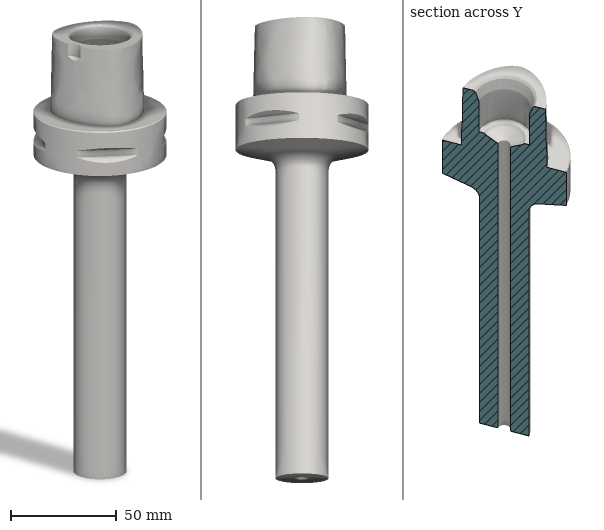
import cadquery as cq
import math

total_height = 218.0
taper_height = 38.0
flange_height = 22.0
flange_radius = 31.5
flange_edge_chamfer = 0.5
shaft_radius = 12.6
flange_top = total_height - taper_height
flange_bottom = flange_top - flange_height

underside_angle = math.radians(15)
neck_fillet = 6.0

taper_top_width = 42.7
taper_base_width = 44.5
lobe_offset = 1.42
outline_points = 48

mouth_radius = 15.5
mouth_depth = 1.0
throat_radius = 14.4
bore_radius = 12.6
bore_start_depth = 6.3
bore_depth = 26.2
pilot_radius = 10.2
pilot_chamfer = 1.0
coolant_radius = 3.0

drill_tip_angle = math.radians(30)

groove_drop = 11.8
groove_floor_height = 3.3
groove_mouth_height = 7.5
groove_floor_distance = 28.0
groove_count = 4
first_groove_angle = 45
cutter_clearance = 2.2

notch_radius = 4.5
notch_back_distance = 17.9
notch_depth = 6.0


def make_body():
    """Revolved flange, underside cone, neck fillet and shaft."""
    turn = math.pi / 2 - underside_angle
    arc_centre_radius = shaft_radius + neck_fillet
    cone_end_radius = arc_centre_radius - neck_fillet * math.cos(turn)
    cone_end_z = flange_bottom - (flange_radius - cone_end_radius) * math.tan(underside_angle)
    arc_centre_z = cone_end_z - neck_fillet * math.sin(turn)
    arc_middle = (
        arc_centre_radius - neck_fillet * math.cos(turn / 2),
        arc_centre_z + neck_fillet * math.sin(turn / 2),
    )
    return (
        cq.Workplane("XZ")
        .lineTo(shaft_radius, 0)
        .lineTo(shaft_radius, arc_centre_z)
        .threePointArc(arc_middle, (cone_end_radius, cone_end_z))
        .lineTo(flange_radius, flange_bottom)
        .lineTo(flange_radius, flange_top - flange_edge_chamfer)
        .lineTo(flange_radius - flange_edge_chamfer, flange_top)
        .lineTo(0, flange_top)
        .close()
        .revolve(360, (0, 0), (0, 1))
    )


def lobed_outline(width):
    """Points of the three-lobed curve, with one lobe on +Y and a flat side on -Y."""
    points = []
    for i in range(outline_points):
        angle = 2 * math.pi * i / outline_points
        across = width / 2 * math.sin(angle) - lobe_offset * (
            2 * math.sin(2 * angle) + math.sin(4 * angle)
        )
        along = width / 2 * math.cos(angle) + lobe_offset * (
            2 * math.cos(2 * angle) - math.cos(4 * angle)
        )
        points.append((-across, along))
    return points


def make_taper():
    return (
        cq.Workplane("XY", origin=(0, 0, flange_top))
        .spline(lobed_outline(taper_base_width), periodic=True)
        .close()
        .workplane(offset=taper_height)
        .spline(lobed_outline(taper_top_width), periodic=True)
        .close()
        .loft(ruled=True)
    )


def make_bore():
    """Stepped bore from the top, ending in a drill-point cone to the coolant hole."""
    bore_floor = total_height - bore_depth
    tip_start_radius = pilot_radius - pilot_chamfer
    tip_start = bore_floor - pilot_chamfer
    tip_end = tip_start - (tip_start_radius - coolant_radius) * math.tan(drill_tip_angle)
    return (
        cq.Workplane("XZ")
        .lineTo(coolant_radius, 0)
        .lineTo(coolant_radius, tip_end)
        .lineTo(tip_start_radius, tip_start)
        .lineTo(pilot_radius, bore_floor)
        .lineTo(bore_radius, bore_floor)
        .lineTo(bore_radius, total_height - bore_start_depth)
        .lineTo(throat_radius, total_height - mouth_depth)
        .lineTo(mouth_radius, total_height)
        .lineTo(0, total_height)
        .close()
        .revolve(360, (0, 0), (0, 1))
    )


def make_groove(angle):
    """Straight groove of trapezoidal section, cut across the rim at the given angle."""
    middle = flange_top - groove_drop
    wall_rise = (groove_mouth_height - groove_floor_height) / 2
    wall_slope = wall_rise / (flange_radius - groove_floor_distance)
    outer_distance = flange_radius + cutter_clearance
    half_floor = groove_floor_height / 2
    half_outer = half_floor + wall_slope * (outer_distance - groove_floor_distance)
    return (
        cq.Workplane("XZ")
        .moveTo(groove_floor_distance, middle - half_floor)
        .lineTo(outer_distance, middle - half_outer)
        .lineTo(outer_distance, middle + half_outer)
        .lineTo(groove_floor_distance, middle + half_floor)
        .close()
        .extrude(flange_radius, both=True)
        .rotate((0, 0, 0), (0, 0, 1), angle)
    )


def make_notch():
    """Upright round cutter with a conical tip, centred just outside the taper."""
    axis_y = -(notch_back_distance + notch_radius)
    shoulder = total_height - notch_depth
    tip = shoulder - notch_radius * math.tan(drill_tip_angle)
    return (
        cq.Workplane("XZ")
        .moveTo(0, tip)
        .lineTo(notch_radius, shoulder)
        .lineTo(notch_radius, total_height)
        .lineTo(0, total_height)
        .close()
        .revolve(360, (0, 0), (0, 1))
        .translate((0, axis_y, 0))
    )


result = make_body().union(make_taper()).cut(make_bore()).cut(make_notch())
for index in range(groove_count):
    result = result.cut(make_groove(first_groove_angle + index * 360 / groove_count))